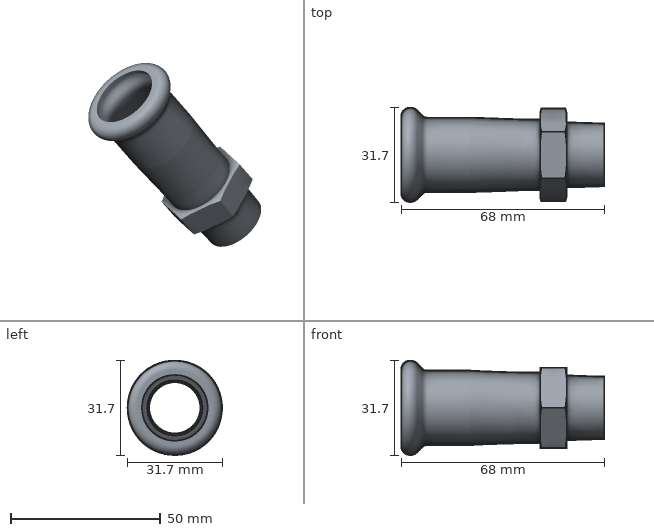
import cadquery as cq
import math

TOTAL_LENGTH = 68.0

BEAD_RADIUS = 3.05
BEAD_CENTRE_RADIUS = 12.8
SLOPE_ANGLE = math.radians(45)
NECK_FILLET = 1.9

SOCKET_RADIUS = 25.0 / 2
NECK_RADIUS = 23.8 / 2
TAPER_START = 23.05
TAPER_END = 40.4

HEX_START = 46.5
HEX_END = 55.35
HEX_ACROSS_FLATS = 27.0
HEX_FACE_RADIUS = 14.1
HEX_CHAMFER_DEPTH = 0.4

THREAD_ROOT_RADIUS = 10.95
THREAD_TIP_RADIUS = 10.55

WALL = 1.5
SOCKET_BORE_RADIUS = SOCKET_RADIUS - WALL
STOP_BORE_RADIUS = 9.3
THROUGH_BORE_RADIUS = 8.6


def revolve_about_x(profile):
    return profile.close().revolve(360, (0, 0, 0), (1, 0, 0))


def add_flared_wall(profile, bead_radius, tube_radius, fillet_radius):
    """Continue from the start of the bead arc over the slope and fillet to the straight tube."""
    sine = math.sin(SLOPE_ANGLE)
    cosine = math.cos(SLOPE_ANGLE)
    slope_top_x = BEAD_RADIUS + bead_radius * sine
    slope_top_radius = BEAD_CENTRE_RADIUS + bead_radius * cosine
    fillet_centre_radius = tube_radius + fillet_radius
    slope_bottom_radius = fillet_centre_radius - fillet_radius * cosine
    slope_bottom_x = slope_top_x + (slope_top_radius - slope_bottom_radius) / math.tan(SLOPE_ANGLE)
    fillet_end_x = slope_bottom_x + fillet_radius * sine
    fillet_middle = (
        fillet_end_x - fillet_radius * math.sin(SLOPE_ANGLE / 2),
        fillet_centre_radius - fillet_radius * math.cos(SLOPE_ANGLE / 2),
    )
    bead_crest = (BEAD_RADIUS, BEAD_CENTRE_RADIUS + bead_radius)
    return (
        profile.threePointArc(bead_crest, (slope_top_x, slope_top_radius))
        .lineTo(slope_bottom_x, slope_bottom_radius)
        .threePointArc(fillet_middle, (fillet_end_x, tube_radius))
        .lineTo(TAPER_START, tube_radius)
    )


def make_body():
    """Bead, straight socket, tapered neck and thread cone."""
    profile = cq.Workplane("XY").lineTo(0, BEAD_CENTRE_RADIUS)
    profile = (
        add_flared_wall(profile, BEAD_RADIUS, SOCKET_RADIUS, NECK_FILLET)
        .lineTo(TAPER_END, NECK_RADIUS)
        .lineTo(HEX_END, NECK_RADIUS)
        .lineTo(HEX_END, THREAD_ROOT_RADIUS)
        .lineTo(TOTAL_LENGTH, THREAD_TIP_RADIUS)
        .lineTo(TOTAL_LENGTH, 0)
    )
    return revolve_about_x(profile)


def make_hexagon():
    """Hexagon with corners on the Y axis and conically chamfered ends."""
    corner_radius = HEX_ACROSS_FLATS / 2 / math.cos(math.pi / 6)
    hexagon = (
        cq.Workplane("YZ", origin=(HEX_START, 0, 0))
        .polygon(6, 2 * corner_radius)
        .extrude(HEX_END - HEX_START)
    )
    chamfer_profile = (
        cq.Workplane("XY")
        .moveTo(HEX_START, 0)
        .lineTo(HEX_START, HEX_FACE_RADIUS)
        .lineTo(HEX_START + HEX_CHAMFER_DEPTH, corner_radius)
        .lineTo(HEX_END - HEX_CHAMFER_DEPTH, corner_radius)
        .lineTo(HEX_END, HEX_FACE_RADIUS)
        .lineTo(HEX_END, 0)
    )
    return hexagon.intersect(revolve_about_x(chamfer_profile))


def make_bore():
    """Socket with seal groove, pipe stop, tapered neck bore and through bore."""
    profile = (
        cq.Workplane("XY")
        .lineTo(0, SOCKET_BORE_RADIUS)
        .lineTo(WALL, SOCKET_BORE_RADIUS)
        .lineTo(WALL, BEAD_CENTRE_RADIUS)
    )
    profile = (
        add_flared_wall(profile, BEAD_RADIUS - WALL, SOCKET_BORE_RADIUS, NECK_FILLET + WALL)
        .lineTo(TAPER_START, STOP_BORE_RADIUS)
        .lineTo(TAPER_END, THROUGH_BORE_RADIUS)
        .lineTo(TOTAL_LENGTH, THROUGH_BORE_RADIUS)
        .lineTo(TOTAL_LENGTH, 0)
    )
    return revolve_about_x(profile)


result = make_body().union(make_hexagon()).cut(make_bore())